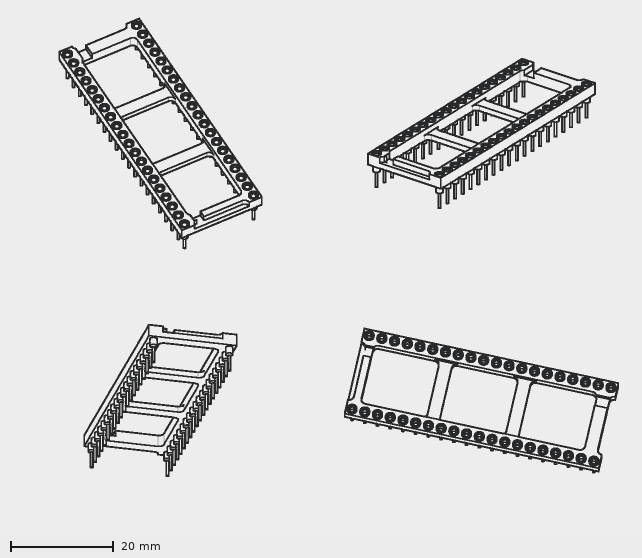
import cadquery as cq
PINS_PER_ROW = 20
PIN_PITCH = 2.54
ROW_SPACING = 15.24
LENGTH = 50.7
WIDTH = 17.68
BODY_HEIGHT = 2.4
RAIL_WIDTH = 2.83
CORNER_RADIUS = 1.0

END_RECESS = 1.0
BAR_WIDTH = 2.55
WINDOW_COUNT = 3
LAST_BAR_WIDTH = 1.5
RIB_DROP = 1.2

NOTCH_DEPTH = 1.2
NOTCH_END_GAP = 0.43
NOTCH_WIDTH = 2.15

TOTAL_HEIGHT = 7.37
COLLAR_DIAMETER = 1.4
COLLAR_LENGTH = 1.75
COLLAR_TAPER = 0.25
TAIL_DIAMETER = 0.5
SEAT_DIAMETER = 1.9
SEAT_DEPTH = 0.1
FUNNEL_DIAMETER = 1.55
FUNNEL_DEPTH = 0.3
BORE_DIAMETER = 1.05
BORE_DEPTH = 2.0

X_MIN = -LENGTH / 2
X_MAX = LENGTH / 2
OPENING_WIDTH = WIDTH - 2 * RAIL_WIDTH
BARS_LENGTH = WINDOW_COUNT * BAR_WIDTH + LAST_BAR_WIDTH
WINDOW_LENGTH = (LENGTH - 2 * END_RECESS - BARS_LENGTH) / WINDOW_COUNT
FIRST_BAR_X = X_MIN + END_RECESS
FIRST_WINDOW_X = FIRST_BAR_X + BAR_WIDTH
WINDOW_STEP = WINDOW_LENGTH + BAR_WIDTH
LAST_BAR_X = FIRST_WINDOW_X + (WINDOW_COUNT - 1) * WINDOW_STEP + WINDOW_LENGTH
LEDGE_X = LAST_BAR_X + LAST_BAR_WIDTH
PIN_POINTS = [
    ((i - (PINS_PER_ROW - 1) / 2) * PIN_PITCH, side * ROW_SPACING / 2)
    for i in range(PINS_PER_ROW)
    for side in (-1, 1)
]


def block(x_start, x_end, y_start, y_end, z_start, z_end):
    """Box given by its limits along each axis."""
    size = (x_end - x_start, y_end - y_start, z_end - z_start)
    return cq.Workplane("XY").box(*size, centered=False).translate((x_start, y_start, z_start))


def opening(x_start, x_end, z_start, rounded_edges="|Z"):
    """Cutter between the rails, from z_start up to the top, with rounded upright edges."""
    half = OPENING_WIDTH / 2
    cutter = block(x_start, x_end, -half, half, z_start, BODY_HEIGHT)
    return cutter.edges(rounded_edges).fillet(CORNER_RADIUS)


def turned(profile):
    """Solid of revolution about Z from (radius, height) points."""
    return cq.Workplane("XZ").polyline(profile).close().revolve(360, (0, 0, 0), (0, 1, 0)).val()


def at_pin_places(shape):
    """Copies of a shape at every pin place."""
    return cq.Workplane("XY").pushPoints(PIN_POINTS).eachpoint(lambda place: shape.moved(place))


def make_frame():
    """Two rails joined by end bars and lower middle ribs, with a ledge at the +X end."""
    frame = block(X_MIN, X_MAX, -WIDTH / 2, WIDTH / 2, 0, BODY_HEIGHT)
    for i in range(WINDOW_COUNT):
        x = FIRST_WINDOW_X + i * WINDOW_STEP
        frame = frame.cut(opening(x, x + WINDOW_LENGTH, 0))

    half = OPENING_WIDTH / 2
    rib_top = BODY_HEIGHT - RIB_DROP
    for i in range(1, WINDOW_COUNT):
        x_end = FIRST_WINDOW_X + i * WINDOW_STEP + CORNER_RADIUS
        x_start = x_end - BAR_WIDTH - 2 * CORNER_RADIUS
        frame = frame.cut(block(x_start, x_end, -half, half, rib_top, BODY_HEIGHT))

    frame = frame.cut(opening(X_MIN - CORNER_RADIUS, FIRST_BAR_X, 0, "|Z and >X"))
    return frame.cut(opening(LEDGE_X, X_MAX + CORNER_RADIUS, BODY_HEIGHT - NOTCH_DEPTH, "|Z and <X"))


def cut_notches(frame):
    """Key notch near the -Y rail, across both end bars and stopping at the ledge."""
    y_start = -OPENING_WIDTH / 2 + NOTCH_END_GAP
    y_end = y_start + NOTCH_WIDTH
    floor = BODY_HEIGHT - NOTCH_DEPTH
    for x_start, x_end in ((X_MIN, FIRST_WINDOW_X + CORNER_RADIUS), (LAST_BAR_X - CORNER_RADIUS, LEDGE_X)):
        frame = frame.cut(block(x_start, x_end, y_start, y_end, floor, BODY_HEIGHT))
    return frame


def add_pins(frame):
    """Collar, tapering into a thin tail, below the frame at every pin place."""
    collar_radius = COLLAR_DIAMETER / 2
    tail_radius = TAIL_DIAMETER / 2
    tail_end = BODY_HEIGHT - TOTAL_HEIGHT
    profile = [
        (0, 0),
        (collar_radius, 0),
        (collar_radius, COLLAR_TAPER - COLLAR_LENGTH),
        (tail_radius, -COLLAR_LENGTH),
        (tail_radius, tail_end),
        (0, tail_end),
    ]
    return frame.union(at_pin_places(turned(profile)))


def cut_sockets(part):
    """Shallow seat, lead-in funnel and blind bore above every pin."""
    seat_radius = SEAT_DIAMETER / 2
    bore_radius = BORE_DIAMETER / 2
    seat_floor = BODY_HEIGHT - SEAT_DEPTH
    bore_floor = BODY_HEIGHT - BORE_DEPTH
    profile = [
        (0, BODY_HEIGHT),
        (seat_radius, BODY_HEIGHT),
        (seat_radius, seat_floor),
        (FUNNEL_DIAMETER / 2, seat_floor),
        (bore_radius, BODY_HEIGHT - FUNNEL_DEPTH),
        (bore_radius, bore_floor),
        (0, bore_floor),
    ]
    return part.cut(at_pin_places(turned(profile)))


result = cut_sockets(add_pins(cut_notches(make_frame())))